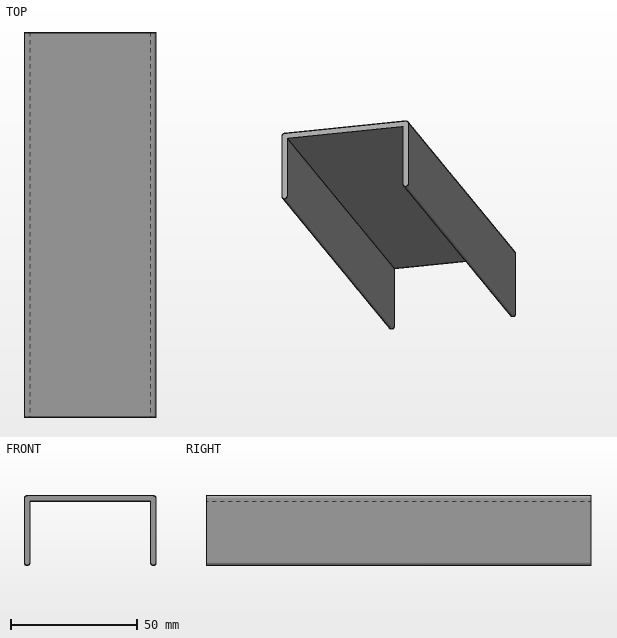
import cadquery as cq

width = 52.3
length = 152.4
height = 27.7

wall = 2.3
corner_radius = 1.2

tip_radius = wall / 2
straight_height = height - tip_radius

web_and_legs = (
    cq.Workplane("XY")
    .box(width, length, straight_height, centered=(True, True, False))
    .translate((0, 0, -straight_height))
    .edges("|Y and >Z")
    .fillet(corner_radius)
)
cavity = (
    cq.Workplane("XY")
    .box(width - 2 * wall, length, straight_height, centered=(True, True, False))
    .translate((0, 0, -straight_height - wall))
)
channel = web_and_legs.cut(cavity)

leg_center = (width - wall) / 2
tips = (
    cq.Workplane("XZ")
    .pushPoints([(-leg_center, -straight_height), (leg_center, -straight_height)])
    .circle(tip_radius)
    .extrude(length / 2, both=True)
)

result = channel.union(tips)